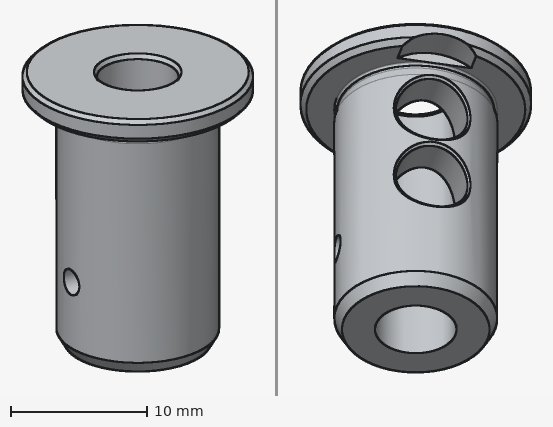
import cadquery as cq
import math

height = 21.8
flange_radius = 16.98 / 2
body_radius = 12 / 2
bore_radius = 6.0 / 2

flange_thickness = 1.87
flange_top_chamfer = 0.33
flange_bottom_chamfer = 0.44
flange_bottom_z = height - flange_thickness

groove_radius = 11.6 / 2
groove_depth = body_radius - groove_radius
groove_land = 0.22
groove_taper_angle = 15
groove_fillet_z = flange_bottom_z - groove_depth
groove_land_z = groove_fillet_z - groove_land
groove_end_z = groove_land_z - groove_depth / math.tan(math.radians(groove_taper_angle))

end_taper_height = 0.98
end_taper_angle = 30
end_radius = body_radius - end_taper_height * math.tan(math.radians(end_taper_angle))

bore_chamfer_width = 0.22
bore_chamfer_depth = 0.37
side_hole_diameter = 5.4
side_hole_chamfer = 0.22
upper_hole_z = 15.91
side_hole_pitch = 6.05
cross_hole_diameter = 2.0
cross_hole_z = 6.32

rim_relief_radius = 4.88


def make_turned_body():
    """Revolve the solid outer profile, before the relief groove is cut."""
    return (
        cq.Workplane("XZ")
        .lineTo(end_radius, 0)
        .lineTo(body_radius, end_taper_height)
        .lineTo(body_radius, flange_bottom_z)
        .lineTo(flange_radius - flange_bottom_chamfer, flange_bottom_z)
        .lineTo(flange_radius, flange_bottom_z + flange_bottom_chamfer)
        .lineTo(flange_radius, height - flange_top_chamfer)
        .lineTo(flange_radius - flange_top_chamfer, height)
        .lineTo(0, height)
        .close()
        .revolve(360, (0, 0), (0, 1))
    )


def make_groove_cutter():
    """Ring with a taper, a short land and a fillet up to the flange."""
    fillet_offset = groove_depth * (1 - math.sqrt(0.5))
    return (
        cq.Workplane("XZ")
        .moveTo(body_radius, groove_end_z)
        .lineTo(groove_radius, groove_land_z)
        .lineTo(groove_radius, groove_fillet_z)
        .threePointArc(
            (groove_radius + fillet_offset, flange_bottom_z - fillet_offset),
            (body_radius, flange_bottom_z),
        )
        .close()
        .revolve(360, (0, 0), (0, 1))
    )


def cut_side_hole(part, z):
    """Drill from the -X side into the bore and break the outer edge."""
    hole_radius = side_hole_diameter / 2
    drill = (
        cq.Workplane("YZ")
        .center(0, z)
        .circle(hole_radius)
        .extrude(-flange_radius)
    )
    part = part.cut(drill)
    mouth_box = cq.selectors.BoxSelector(
        (-body_radius, -hole_radius, z - hole_radius),
        (-(body_radius + bore_radius) / 2, hole_radius, z + hole_radius),
    )
    return part.edges(mouth_box).chamfer(side_hole_chamfer)


def make_rim_relief_cutter():
    """Disc around the upper side hole axis, from outside the flange in to the body surface."""
    return (
        cq.Workplane("YZ", origin=(-body_radius, 0, upper_hole_z))
        .circle(rim_relief_radius)
        .extrude(body_radius - flange_radius)
    )


result = make_turned_body()

bore = cq.Workplane("XY").circle(bore_radius).extrude(height)
result = result.cut(bore)
bore_mouth = (
    cq.Workplane("XZ")
    .moveTo(0, height)
    .lineTo(bore_radius + bore_chamfer_width, height)
    .lineTo(bore_radius, height - bore_chamfer_depth)
    .lineTo(0, height - bore_chamfer_depth)
    .close()
    .revolve(360, (0, 0), (0, 1))
)
result = result.cut(bore_mouth)

for hole_z in (upper_hole_z, upper_hole_z - side_hole_pitch):
    result = cut_side_hole(result, hole_z)

cross_hole = (
    cq.Workplane("XZ")
    .center(0, cross_hole_z)
    .circle(cross_hole_diameter / 2)
    .extrude(flange_radius, both=True)
)
result = result.cut(cross_hole)

result = result.cut(make_groove_cutter())
result = result.cut(make_rim_relief_cutter())